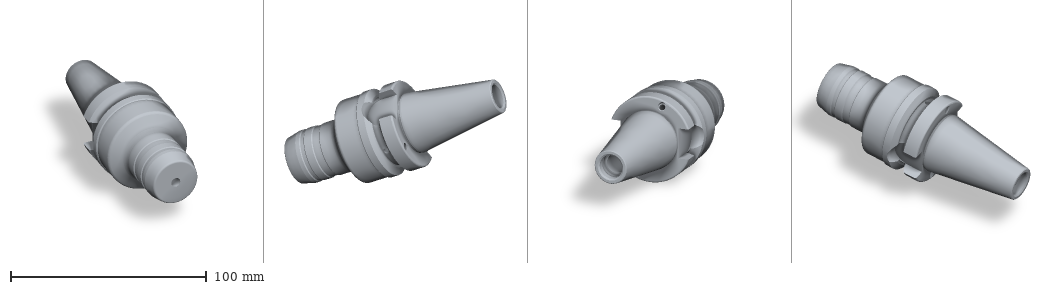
import cadquery as cq
import math

total_length = 118.4

taper_slope = 7 / 24 / 2
taper_end_x = 48.2
taper_large_radius = 15.9
taper_small_radius = taper_large_radius - taper_end_x * taper_slope
taper_tip_chamfer = 0.4
neck_radius = 15.6
neck_x = 49.1
neck_chamfer = 0.5

flange_diameter = 46.0
flange_radius = flange_diameter / 2
flange_x = 50.3
flange_fillet = 1.0
groove_x = 60.0
groove_end_x = 63.8
groove_radius = 18.1
groove_lip_radius = 19.4
bevel_length = 2.1
collar_end_x = 70.5
collar_chamfer = 0.5

body_radius = 44.5 / 2
cone_start_x = 83.5
cone_angle = math.radians(60)
body_fillet = 1.9
shoulder_fillet = 2.8

nose_radius = 28.0 / 2
nose_groove_radius = 27.0 / 2
wide_groove = (97.2, 101.1)
narrow_groove = (106.2, 108.1)
groove_edge_chamfer = 0.5
nose_taper_x = 110.8
nose_end_radius = 12.2
nose_end_fillet = 1.1

slot_width = 16.1
slot_flat_y = 16.1
slot_end_x = 67.1

mouth_radius = 7.1
mouth_chamfer = 0.7
socket_radius = 12.5 / 2
undercut_radius = 13.1 / 2
undercut_x = 4.0
undercut_end_x = 5.1
socket_depth = 7.1
thread_radius = 10.1 / 2
thread_end_x = 26.0
inner_bore_radius = 7.5 / 2
bore_step_x = 27.2
drill_cone_end_x = 28.4
through_radius = 5.0 / 2

coolant_turn = 20.0
coolant_mouth_radius = 4.0 / 2
coolant_radius = 3.2 / 2
coolant_mouth_r = 19.8
coolant_slope = math.radians(35)
coolant_mouth_depth = 1.4
coolant_cross_x = 61.8


def turned(points):
    """Revolve an (x, radius) outline about the X axis."""
    return cq.Workplane("XY").polyline(points).close().revolve(360, (0, 0, 0), (1, 0, 0))


def fillet_ring(solid, x, radius, size):
    """Round the circular edge lying at a given x and radius."""
    tolerance = 0.01
    rings = [
        edge
        for edge in solid.edges("%CIRCLE").vals()
        if abs(edge.Center().x - x) < tolerance and abs(edge.radius() - radius) < tolerance
    ]
    return solid.newObject(rings).fillet(size)


def nose_groove(start_x, end_x):
    """Outline points of a shallow groove with bevelled edges."""
    return [
        (start_x - groove_edge_chamfer, nose_radius),
        (start_x, nose_groove_radius),
        (end_x, nose_groove_radius),
        (end_x + groove_edge_chamfer, nose_radius),
    ]


def outer_body():
    cone_end_x = cone_start_x + (body_radius - nose_radius) / math.tan(cone_angle)
    outline = [
        (0, 0),
        (0, taper_small_radius - taper_tip_chamfer),
        (taper_tip_chamfer, taper_small_radius + taper_tip_chamfer * taper_slope),
        (taper_end_x, taper_large_radius),
        (neck_x, taper_large_radius),
        (neck_x + neck_chamfer, neck_radius),
        (flange_x, neck_radius),
        (flange_x, flange_radius),
        (groove_x - bevel_length, flange_radius),
        (groove_x, groove_lip_radius),
        (groove_x, groove_radius),
        (groove_end_x, groove_radius),
        (groove_end_x, groove_lip_radius),
        (groove_end_x + bevel_length, flange_radius),
        (collar_end_x - collar_chamfer, flange_radius),
        (collar_end_x, flange_radius - collar_chamfer),
        (collar_end_x, body_radius),
        (cone_start_x, body_radius),
        (cone_end_x, nose_radius),
        *nose_groove(*wide_groove),
        *nose_groove(*narrow_groove),
        (nose_taper_x, nose_radius),
        (total_length, nose_end_radius),
        (total_length, 0),
    ]
    solid = turned(outline)
    solid = fillet_ring(solid, flange_x, flange_radius, flange_fillet)
    solid = fillet_ring(solid, cone_start_x, body_radius, body_fillet)
    solid = fillet_ring(solid, cone_end_x, nose_radius, shoulder_fillet)
    return fillet_ring(solid, total_length, nose_end_radius, nose_end_fillet)


def stepped_bore():
    return turned([
        (0, 0),
        (0, mouth_radius),
        (mouth_chamfer, socket_radius),
        (undercut_x, socket_radius),
        (undercut_x, undercut_radius),
        (undercut_end_x, undercut_radius),
        (undercut_end_x, socket_radius),
        (socket_depth, socket_radius),
        (socket_depth, thread_radius),
        (thread_end_x, thread_radius),
        (bore_step_x, inner_bore_radius),
        (drill_cone_end_x, through_radius),
        (total_length, through_radius),
        (total_length, 0),
    ])


def drive_slot():
    """Round-ended slot on the +Y side, open through the rear face of the flange."""
    slot_depth = flange_radius - slot_flat_y
    arc_x = slot_end_x - slot_width / 2
    straight = cq.Workplane("XY").box(
        arc_x - flange_x, slot_depth, slot_width, centered=(False, False, True)
    ).translate((flange_x, slot_flat_y, 0))
    round_end = cq.Workplane(
        cq.Plane((arc_x, slot_flat_y, 0), (1, 0, 0), (0, 1, 0))
    ).circle(slot_width / 2).extrude(slot_depth)
    return straight.union(round_end)


def drilled(start, direction, radius, length):
    return cq.Workplane(cq.Solid.makeCylinder(radius, length, start, direction))


def coolant_hole():
    """Sloping stepped hole from the flange face, met by a radial hole in the groove."""
    mouth = cq.Vector(flange_x, 0, coolant_mouth_r)
    inward = cq.Vector(math.cos(coolant_slope), 0, -math.sin(coolant_slope))
    cross_distance = coolant_cross_x - flange_x
    sloping_length = cross_distance / math.cos(coolant_slope)
    cross_r = coolant_mouth_r - cross_distance * math.tan(coolant_slope)
    lead_in = 2 * coolant_mouth_radius
    wide = drilled(
        mouth - inward * lead_in, inward, coolant_mouth_radius, lead_in + coolant_mouth_depth
    )
    narrow = drilled(mouth, inward, coolant_radius, sloping_length)
    radial = drilled(
        cq.Vector(coolant_cross_x, 0, cross_r), cq.Vector(0, 0, 1),
        coolant_radius, groove_lip_radius - cross_r,
    )
    hole = wide.union(narrow).union(radial)
    return hole.rotate((0, 0, 0), (1, 0, 0), coolant_turn)


result = outer_body().cut(stepped_bore())
for half_turn in (0, 180):
    for cutter in (drive_slot(), coolant_hole()):
        result = result.cut(cutter.rotate((0, 0, 0), (1, 0, 0), half_turn))